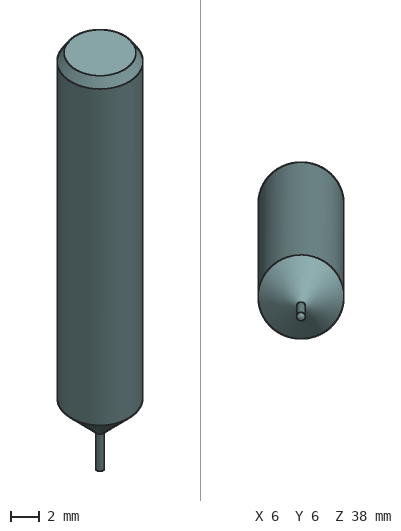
import cadquery as cq
import math

total_length = 38.0
shank_diameter = 6.0
tip_diameter = 0.6
tip_length = 3.5
point_angle = 140.0
cone_height = 3.08
chamfer_height = 0.8
chamfer_width = 0.5

shank_radius = shank_diameter / 2
tip_radius = tip_diameter / 2
point_height = tip_radius / math.tan(math.radians(point_angle / 2))
cone_top_z = tip_length + cone_height


def make_shank():
    """Round shank with a chamfered top and a cone narrowing to the tip."""
    half_profile = (
        cq.Workplane("XZ")
        .moveTo(0, tip_length)
        .lineTo(tip_radius, tip_length)
        .lineTo(shank_radius, cone_top_z)
        .lineTo(shank_radius, total_length - chamfer_height)
        .lineTo(shank_radius - chamfer_width, total_length)
        .lineTo(0, total_length)
        .close()
    )
    return half_profile.revolve(360, (0, 0, 0), (0, 1, 0))


def make_tip():
    """Thin cylindrical tip with a shallow conical point, meeting the small end of the cone."""
    half_profile = (
        cq.Workplane("XZ")
        .lineTo(tip_radius, point_height)
        .lineTo(tip_radius, tip_length)
        .lineTo(0, tip_length)
        .close()
    )
    return half_profile.revolve(360, (0, 0, 0), (0, 1, 0))


shank = make_shank()
tip = make_tip()

result = cq.Compound.makeCompound([shank.val(), tip.val()])